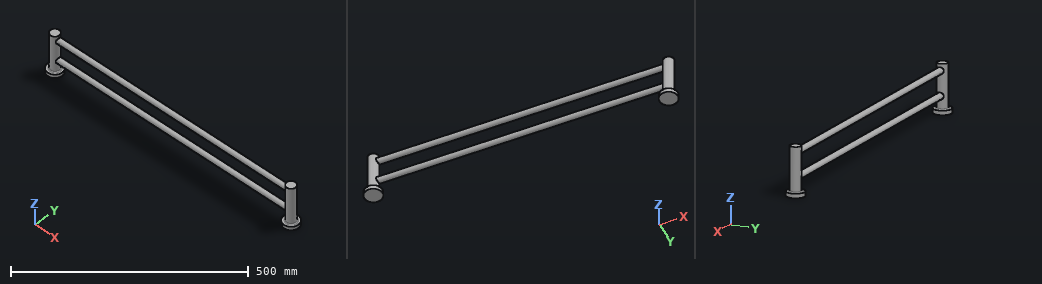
import cadquery as cq

overall_length = 730.5
overall_height = 110.0

flange_diameter = 42.0
flange_thickness = 10.0
foot_fillet = 2.0
post_diameter = 25.5
post_x = (overall_length - flange_diameter) / 2

rail_diameter = 16.0
rail_heights = (39.5, 95.0)


def post_shaft(x):
    """Upright cylinder over the full height, centred at x."""
    return cq.Workplane("XY").center(x, 0).circle(post_diameter / 2).extrude(overall_height)


def make_post(x):
    """Post in one piece with its foot flange, with a fillet around the joint."""
    flange = cq.Workplane("XY").center(x, 0).circle(flange_diameter / 2).extrude(flange_thickness)
    post = flange.union(post_shaft(x))
    flange_top_face = post.faces("+Z").faces("<Z")
    return flange_top_face.edges(cq.selectors.RadiusNthSelector(0)).fillet(foot_fillet)


def make_rail(z):
    """Round rail whose ends are saddle-cut to sit flush against the post surfaces."""
    rail = (
        cq.Workplane("YZ", origin=(-post_x, 0, z))
        .circle(rail_diameter / 2)
        .extrude(2 * post_x)
    )
    for x in (-post_x, post_x):
        rail = rail.cut(post_shaft(x))
    return rail


posts = [make_post(x) for x in (-post_x, post_x)]
rails = [make_rail(z) for z in rail_heights]

result = cq.Compound.makeCompound([body.val() for body in posts + rails])